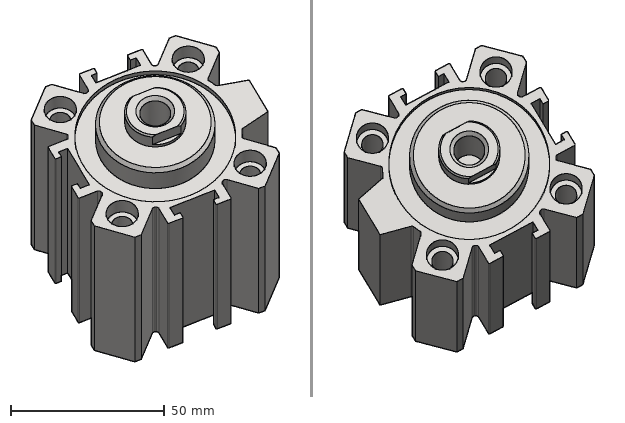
import cadquery as cq
import math

HOUSING_HEIGHT = 69.9
HOUSING_WIDTH = 67.0
CORE_DIAMETER = 56.8
FIN_WIDTH = 17.3
FIN_REACH = 40.4
FIN_ANGLES = (45, 135, 225, 315)
VALLEY_RADIUS = 0.9

RAIL_REACH = 33.35
RAIL_WIDTH = 23.0
SLOT_OPENING = 12.0
SLOT_WIDTH = 16.2
SLOT_LIP = 2.3
SLOT_FLOOR = 27.8
RAIL_EDGE_RADIUS = 0.3
RAIL_ANGLES = (180, 270, 0)

RIB_REACH = 37.5
RIB_TIP_WIDTH = 14.1
RIB_ROOT_WIDTH = 22.0
RIB_ROOT_Y = 21

HOLE_SPACING = 46.4
HOLE_DIAMETER = 7.0
COUNTERBORE_DIAMETER = 10.5
COUNTERBORE_DEPTH = 6.5

RECESS_DIAMETER = 52.5
RECESS_DEPTH = 2.0
COLLAR_DIAMETER = 39.0
COLLAR_TOP = 77.95
COLLAR_CHAMFER = 1.3

ROD_DIAMETER = 20.0
ROD_TOP = 84
ROD_LENGTH = 33.6
ROD_CHAMFER = 0.6
FLATS_WIDTH = 17.1
FLATS_HEIGHT = 4.8
ROD_HOLE_DIAMETER = 10.1
ROD_HOLE_DEPTH = 20.2
ROD_HOLE_CHAMFER = 1.3

ROD_BOTTOM = ROD_TOP - ROD_LENGTH
RECESS_FLOOR = HOUSING_HEIGHT - RECESS_DEPTH


def cylinder(diameter, bottom, top):
    return cq.Workplane("XY").workplane(offset=bottom).circle(diameter / 2).extrude(top - bottom)


def bar(inner, outer, width):
    """Full-height rectangular bar along +X, from inner to outer, centred on the X axis."""
    return (
        cq.Workplane("XY")
        .center((inner + outer) / 2, 0)
        .rect(outer - inner, width)
        .extrude(HOUSING_HEIGHT)
    )


def turned(shape, angle):
    return shape.rotate((0, 0, 0), (0, 0, 1), angle)


def tapered_rib():
    half_tip = RIB_TIP_WIDTH / 2
    half_root = RIB_ROOT_WIDTH / 2
    return (
        cq.Workplane("XY")
        .polyline([
            (0, 0),
            (half_root, RIB_ROOT_Y),
            (half_tip, RIB_REACH),
            (-half_tip, RIB_REACH),
            (-half_root, RIB_ROOT_Y),
        ])
        .close()
        .extrude(HOUSING_HEIGHT)
    )


def t_slot():
    lip_inner = RAIL_REACH - SLOT_LIP
    opening = bar(lip_inner, RAIL_REACH, SLOT_OPENING)
    return bar(SLOT_FLOOR, lip_inner, SLOT_WIDTH).union(opening)


def slotted_rail():
    """Rail along +X that widens the core, with a T-slot and rounded outer edges."""
    rail = bar(0, RAIL_REACH, RAIL_WIDTH).cut(t_slot())
    return rail.faces(">X").edges("|Z").fillet(RAIL_EDGE_RADIUS)


def round_valleys(profile):
    """Fillet the vertical edges where the flat sides of rails, fins and rib meet the core."""
    core_edge = CORE_DIAMETER / 2
    tolerance = 0.04
    valley_edges = [
        edge for edge in profile.edges("|Z").vals()
        if abs(math.hypot(edge.Center().x, edge.Center().y) - core_edge) < tolerance
    ]
    return profile.newObject(valley_edges).fillet(VALLEY_RADIUS)


def make_housing():
    body = cylinder(CORE_DIAMETER, 0, HOUSING_HEIGHT)
    square = cq.Workplane("XY").rect(HOUSING_WIDTH, HOUSING_WIDTH).extrude(HOUSING_HEIGHT)
    for angle in FIN_ANGLES:
        body = body.union(turned(bar(0, FIN_REACH, FIN_WIDTH), angle).intersect(square))
    for angle in RAIL_ANGLES:
        body = body.union(turned(slotted_rail(), angle))
    body = round_valleys(body.union(tapered_rib()))
    for angle in RAIL_ANGLES:
        body = body.cut(turned(t_slot(), angle))

    body = (
        body.faces(">Z").workplane(origin=(0, 0, HOUSING_HEIGHT))
        .rect(HOLE_SPACING, HOLE_SPACING, forConstruction=True)
        .vertices()
        .cboreHole(HOLE_DIAMETER, COUNTERBORE_DIAMETER, COUNTERBORE_DEPTH)
    )

    collar = cylinder(COLLAR_DIAMETER, RECESS_FLOOR, COLLAR_TOP).faces(">Z").chamfer(COLLAR_CHAMFER)
    body = body.cut(cylinder(RECESS_DIAMETER, RECESS_FLOOR, HOUSING_HEIGHT)).union(collar)
    return body.cut(cylinder(ROD_DIAMETER, ROD_BOTTOM, COLLAR_TOP))


def make_rod():
    rod = cylinder(ROD_DIAMETER, ROD_BOTTOM, ROD_TOP).faces(">Z").chamfer(ROD_CHAMFER)

    flats_bottom = ROD_TOP - FLATS_HEIGHT
    between_flats = (
        cq.Workplane("XY").workplane(offset=flats_bottom)
        .rect(FLATS_WIDTH, ROD_DIAMETER)
        .extrude(FLATS_HEIGHT)
    )
    rod = rod.cut(cylinder(ROD_DIAMETER, flats_bottom, ROD_TOP).cut(between_flats))

    rod = rod.cut(cylinder(ROD_HOLE_DIAMETER, ROD_TOP - ROD_HOLE_DEPTH, ROD_TOP))
    return rod.faces(">Z").edges(cq.selectors.RadiusNthSelector(0)).chamfer(ROD_HOLE_CHAMFER)


housing = make_housing()
rod = make_rod()
result = cq.Compound.makeCompound([housing.val(), rod.val()])